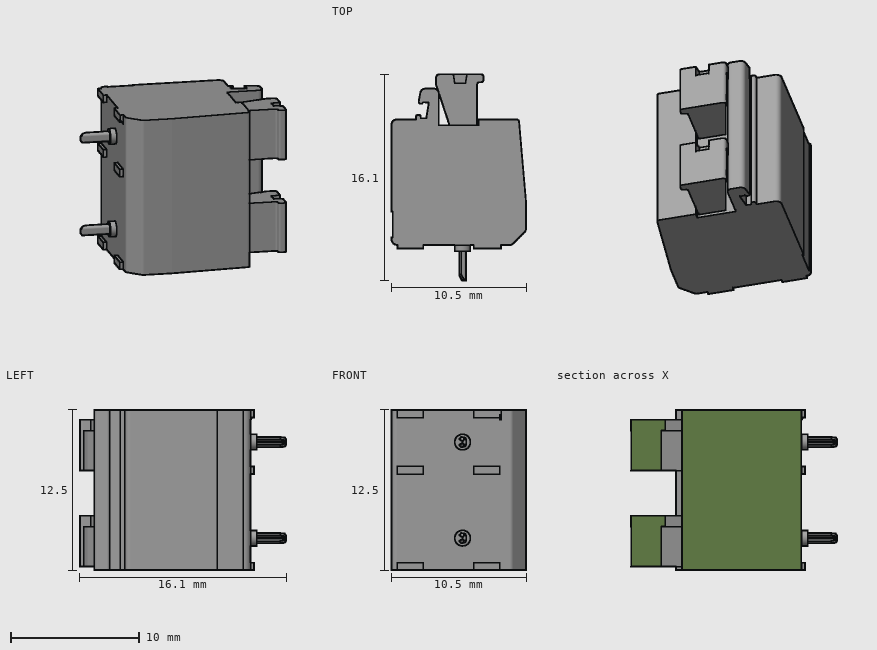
import cadquery as cq
import math


width = 10.5
height = 12.5
back_y = 9.8
pitch = 7.49
pole_offsets = (0, pitch)

recess_depth = 0.11
recess_start_y = 0.6
recess_end_y = 2.61

front_left_radius = 0.48
back_left_radius = 0.45
back_right_radius = 0.24
back_right_x = 9.95
slope_start_y = 3.46
front_chamfer = 1.11
chamfer_blend = 0.32

pocket_left = 3.7
pocket_right = 6.81
pocket_floor_y = 9.34

hook_top_y = 12.2
hook_heel_x = 2.72
hook_heel_y = 9.9
hook_throat_x = 2.91
hook_throat_y = 11.1
lip_root_x = 2.5
lip_root_y = 11.13
lip_inner_x = 2.37
lip_outer_x = 2.1
lip_inner_y = 11.0
lip_outer_y = 11.03
lip_radius = 0.16
hook_crown_x = 2.32
hook_crown_radius = 0.42
hook_back_radius = 0.39

rib_left = 1.92
rib_right = 2.3
rib_top_y = 10.16
rib_radius = 0.18

button_bottom_z = 0.27
button_top_z = 4.25
button_ledge_z = 3.4
button_left = 3.48
button_right = 6.7
button_top_y = 13.31
button_base_left = 4.52
button_crown_radius = 0.27
head_upper_bend_y = 12.48
head_lower_bend_x = 3.55
head_lower_bend_y = 12.32
stem_crown_y = 13.02
stem_bend_x = 3.64
stem_bend_y = 12.7
nose_x = 7.2
nose_bottom_y = 12.69
nose_radius = 0.2
nose_root_radius = 0.18
slot_center_x = 5.36
slot_top_width = 1.06
slot_bottom_width = 0.84
slot_depth = 0.71

foot_height = 0.27
foot_thickness = 0.6
left_foot = (front_left_radius, 2.5)
right_foot = (6.42, 8.47)
foot_bottoms = (0, pitch, height - foot_thickness)

wedge_left = 8.44
wedge_right = 8.57
wedge_tip_drop = 0.39
wedge_root_drop = 0.75

pin_x = 5.55
pin_z = 2.5
collar_radius = 0.61
collar_length = 0.48
pin_end_y = -2.79
pin_back_x = 0.27
pin_back_half_width = 0.18
pin_shoulder = (0.06, 0.37)
pin_arm_outer = (-0.1, 0.4)
pin_arm_inner = (-0.27, 0.23)
pin_groove = (0.0, 0.06)
taper_start_y = -2.29
taper_middle = (0.23, -2.58)
taper_end = 0.056
tip_half_width = 0.18
tip_chamfer_width = 0.2
tip_chamfer_length = 0.15
cutter_margin = 0.16
cutter_reach = 0.65


def rounded_outline(corners):
    """Closed XY outline from (x, y) or (x, y, fillet radius) corners."""
    pieces = []
    for i, corner in enumerate(corners):
        point = cq.Vector(corner[0], corner[1])
        if len(corner) == 2:
            pieces.append((point,))
            continue
        radius = corner[2]
        before = corners[i - 1]
        after = corners[(i + 1) % len(corners)]
        to_before = (cq.Vector(before[0], before[1]) - point).normalized()
        to_after = (cq.Vector(after[0], after[1]) - point).normalized()
        half_angle = to_before.getAngle(to_after) / 2
        setback = radius / math.tan(half_angle)
        middle_distance = radius / math.sin(half_angle) - radius
        bisector = (to_before + to_after).normalized()
        pieces.append((
            point + to_before * setback,
            point + bisector * middle_distance,
            point + to_after * setback,
        ))
    outline = cq.Workplane("XY").moveTo(*pieces[0][-1].toTuple()[:2])
    for piece in pieces[1:] + pieces[:1]:
        outline = outline.lineTo(*piece[0].toTuple()[:2])
        if len(piece) == 3:
            outline = outline.threePointArc(piece[1].toTuple()[:2], piece[2].toTuple()[:2])
    return outline.close()


def box(x_range, y_range, z_range):
    """Axis-aligned block between the given limits."""
    sizes = [high - low for low, high in (x_range, y_range, z_range)]
    corner = (x_range[0], y_range[0], z_range[0])
    return cq.Workplane("XY").box(*sizes, centered=False).translate(corner)


def make_housing():
    """Full-height housing with its hook, button pocket and rib."""
    outline = rounded_outline([
        (recess_depth, recess_start_y),
        (recess_depth, recess_end_y),
        (0, recess_end_y),
        (0, back_y, back_left_radius),
        (rib_left, back_y),
        (rib_left, rib_top_y, rib_radius),
        (rib_right, rib_top_y, rib_radius),
        (rib_right, hook_heel_y),
        (hook_heel_x, hook_heel_y),
        (hook_throat_x, hook_throat_y),
        (lip_root_x, lip_root_y),
        (lip_inner_x, lip_inner_y),
        (lip_outer_x, lip_outer_y, lip_radius),
        (hook_crown_x, hook_top_y, hook_crown_radius),
        (pocket_left, hook_top_y, hook_back_radius),
        (pocket_left, pocket_floor_y),
        (pocket_right, pocket_floor_y),
        (pocket_right, back_y),
        (back_right_x, back_y, back_right_radius),
        (width, slope_start_y),
        (width, front_chamfer, chamfer_blend),
        (width - front_chamfer, 0, chamfer_blend),
        (0, 0, front_left_radius),
        (0, recess_start_y),
    ])
    return outline.extrude(height)


def make_button():
    """Lowest push button: a slim stem below a wider, slotted head."""
    shared_corners = [
        (button_left, button_top_y, button_crown_radius),
        (nose_x, button_top_y, nose_radius),
        (nose_x, nose_bottom_y, nose_radius),
        (button_right, nose_bottom_y, nose_root_radius),
        (button_right, pocket_floor_y),
        (button_base_left, pocket_floor_y),
    ]
    stem_outline = rounded_outline(
        shared_corners
        + [(stem_bend_x, stem_bend_y), (button_left, stem_crown_y)]
    )
    head_outline = rounded_outline(
        shared_corners
        + [(head_lower_bend_x, head_lower_bend_y), (button_left, head_upper_bend_y)]
    )
    stem = stem_outline.extrude(button_ledge_z - button_bottom_z)
    stem = stem.translate((0, 0, button_bottom_z))
    head = head_outline.extrude(button_top_z - button_ledge_z)
    slot = cq.Workplane("XY").polyline([
        (slot_center_x - slot_top_width / 2, button_top_y),
        (slot_center_x + slot_top_width / 2, button_top_y),
        (slot_center_x + slot_bottom_width / 2, button_top_y - slot_depth),
        (slot_center_x - slot_bottom_width / 2, button_top_y - slot_depth),
    ]).close().extrude(button_top_z - button_ledge_z)
    return stem.union(head.cut(slot).translate((0, 0, button_ledge_z)))


def make_feet():
    """Two columns of feet, with a wedge on the end of the top right foot."""
    feet = (
        cq.Workplane("YZ", origin=(wedge_left, 0, 0))
        .polyline([
            (0, height),
            (-foot_height, height),
            (-foot_height, height - wedge_tip_drop),
            (0, height - wedge_root_drop),
        ])
        .close()
        .extrude(wedge_right - wedge_left)
    )
    for bottom in foot_bottoms:
        for x_range in (left_foot, right_foot):
            feet = feet.union(box(x_range, (-foot_height, 0), (bottom, bottom + foot_thickness)))
    return feet


def make_tip_cutter(side):
    """Curved wedge that tapers one arm of the pin; side is +1 or -1 in Z."""
    edge_x = pin_arm_outer[0] - pin_arm_inner[0]
    edge_z = pin_arm_outer[1] - pin_arm_inner[1]
    edge_length = math.hypot(edge_x, edge_z)
    outward_x = -edge_z / edge_length
    outward_z = edge_x / edge_length
    arm_reach = pin_arm_inner[0] * outward_x + pin_arm_inner[1] * outward_z
    plane = cq.Plane(
        origin=(0, 0, 0),
        xDir=(outward_x, 0, side * outward_z),
        normal=(-side * outward_z, 0, outward_x),
    )
    return (
        cq.Workplane(plane)
        .moveTo(arm_reach, taper_start_y)
        .threePointArc(taper_middle, (taper_end, pin_end_y))
        .lineTo(arm_reach + cutter_margin, pin_end_y)
        .lineTo(arm_reach + cutter_margin, taper_start_y)
        .close()
        .extrude(cutter_reach, both=True)
    )


def make_tip_chamfer(side):
    """Wedge that bevels the end of the pin; side is +1 or -1 in Z."""
    outer_z = side * (tip_half_width + tip_chamfer_width)
    return (
        cq.Workplane("YZ")
        .moveTo(pin_end_y, side * tip_half_width)
        .lineTo(pin_end_y + tip_chamfer_length, outer_z)
        .lineTo(pin_end_y, outer_z)
        .close()
        .extrude(cutter_reach, both=True)
    )


def make_pin():
    """Solder pin on the Y axis: round collar and a grooved, tapered shank."""
    collar = cq.Workplane("XZ").circle(collar_radius).extrude(collar_length)
    cos_45 = math.sqrt(0.5)
    arc_width = pin_back_x - pin_shoulder[0]
    arc_rise = pin_shoulder[1] - pin_back_half_width
    arc_middle = (
        pin_shoulder[0] + arc_width * cos_45,
        pin_back_half_width + arc_rise * cos_45,
    )

    def mirrored(point):
        return (point[0], -point[1])

    shank = (
        cq.Workplane("XZ")
        .moveTo(pin_back_x, -pin_back_half_width)
        .lineTo(pin_back_x, pin_back_half_width)
        .threePointArc(arc_middle, pin_shoulder)
        .lineTo(*pin_arm_outer)
        .lineTo(*pin_arm_inner)
        .lineTo(*pin_groove)
        .lineTo(*mirrored(pin_groove))
        .lineTo(*mirrored(pin_arm_inner))
        .lineTo(*mirrored(pin_arm_outer))
        .lineTo(*mirrored(pin_shoulder))
        .threePointArc(mirrored(arc_middle), (pin_back_x, -pin_back_half_width))
        .close()
        .extrude(-pin_end_y)
    )
    for side in (1, -1):
        shank = shank.cut(make_tip_cutter(side)).cut(make_tip_chamfer(side))
    return collar.union(shank)


button = make_button()
pin = make_pin()
result = make_housing().union(make_feet())
for offset in pole_offsets:
    result = result.union(button.translate((0, 0, offset)))
    result = result.union(pin.translate((pin_x, 0, pin_z + offset)))